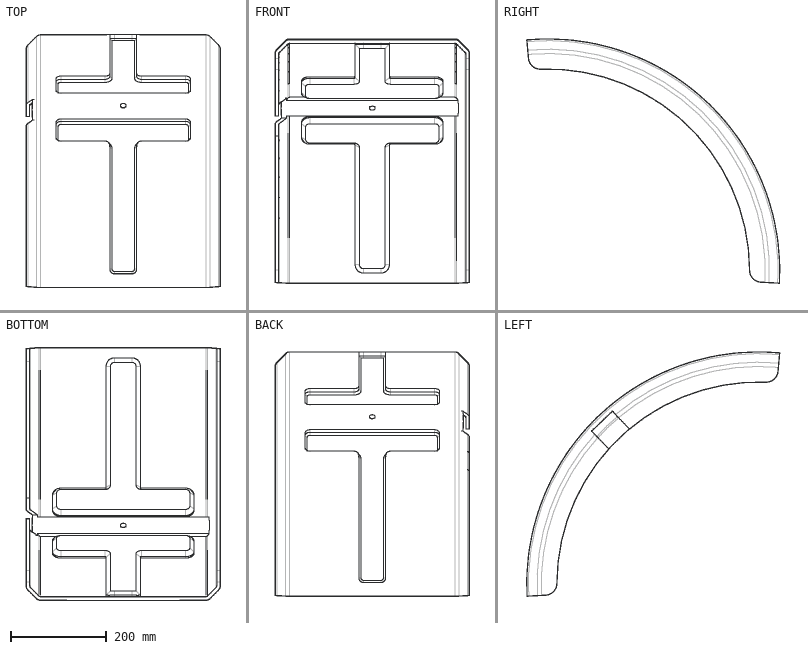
import cadquery as cq
import math

WIDTH = 406.4
OUTER_RADIUS = 485.0
SHEET = 7.62
START_ANGLE = -3.09
END_ANGLE = 95.24
MID_ANGLE = (START_ANGLE + END_ANGLE) / 2

SHOULDER = 25.4
FLANGE_DEPTH = 63.5
BEND_RADIUS = 12.7
FLANGE_END_RADIUS = 25.4

RECESS_DEPTH = 12.7
STEM_WIDTH = 56.3
CROSSBAR_LENGTH = 281.0
CROSSBAR_NEAR_ANGLE = 4.45
CROSSBAR_FAR_ANGLE = 11.2
STEM_END_ANGLE = 45.75
CORNER_RADIUS = 10.0
BOSS_BEVEL = 9.0

STIFFENER_FACE_DISTANCE = 472.0
STIFFENER_WIDTH = 47.6
NOTCH_WIDTH = 60.0
HOLE_DIAMETER = 12.0

HALF_WIDTH = WIDTH / 2
TOLERANCE = 0.5
INNER_RADIUS = OUTER_RADIUS - SHEET
FLANGE_EDGE_RADIUS = OUTER_RADIUS - FLANGE_DEPTH
BEVEL_LOSS = SHEET * (2 - math.sqrt(2))
RECESS_BEVEL = BOSS_BEVEL - BEVEL_LOSS


def swept(profile, first_angle, last_angle):
    """Revolve an (x, radius) profile about the X axis between two angles."""
    solid = profile.revolve(last_angle - first_angle, (0, 0), (1, 0))
    return solid.rotate((0, 0, 0), (1, 0, 0), first_angle)


def at_mid_angle(solid):
    """Turn a solid built around +Y to the middle of the arc."""
    return solid.rotate((0, 0, 0), (1, 0, 0), MID_ANGLE)


def channel_body(half_width, crown_radius, shoulder, bend_radius):
    """Solid arch with rounded sloping shoulders, down to the free edge of the flanges."""
    corners = [
        (-half_width, FLANGE_EDGE_RADIUS),
        (-half_width, crown_radius - shoulder),
        (-half_width + shoulder, crown_radius),
        (half_width - shoulder, crown_radius),
        (half_width, crown_radius - shoulder),
        (half_width, FLANGE_EDGE_RADIUS),
    ]
    section = cq.Sketch().polygon(corners + corners[:1])
    section = section.vertices("not <Y").fillet(bend_radius)
    return swept(cq.Workplane("XY").placeSketch(section), START_ANGLE, END_ANGLE)


OUTER_BODY = channel_body(HALF_WIDTH, OUTER_RADIUS, SHOULDER, BEND_RADIUS)


def folded_sheet():
    """Sheet of even thickness: the outer arch less the arch one sheet inside it."""
    inner_shoulder = SHOULDER - BEVEL_LOSS
    cavity = channel_body(
        HALF_WIDTH - SHEET, INNER_RADIUS, inner_shoulder, BEND_RADIUS - SHEET
    )
    sheet = OUTER_BODY.cut(cavity)

    def is_flange_corner(edge):
        middle = edge.Center()
        is_free = math.hypot(middle.y, middle.z) < FLANGE_EDGE_RADIUS + TOLERANCE
        return is_free and edge.geomType() == "LINE"

    corners = [edge for edge in sheet.edges("|X").vals() if is_flange_corner(edge)]
    return sheet.newObject(corners).fillet(FLANGE_END_RADIUS)


def tee(floor_radius, top_radius, margin, bevel, convex_radius, concave_radius):
    """T block on the far half of the arc, grown all round by margin, with a bevelled floor."""
    margin_angle = math.degrees(margin / OUTER_RADIUS)
    height = top_radius - floor_radius
    mid_radius = (floor_radius + top_radius) / 2
    near_angle = MID_ANGLE + CROSSBAR_NEAR_ANGLE - margin_angle
    far_angle = MID_ANGLE + CROSSBAR_FAR_ANGLE + margin_angle
    end_angle = MID_ANGLE + STEM_END_ANGLE + margin_angle
    crossbar_length = CROSSBAR_LENGTH + 2 * margin
    stem_width = STEM_WIDTH + 2 * margin

    def slab(width, last_angle):
        profile = cq.Workplane("XY").center(0, mid_radius).rect(width, height)
        solid = profile.revolve(last_angle - near_angle, (0, -mid_radius), (1, -mid_radius))
        return solid.rotate((0, 0, 0), (1, 0, 0), near_angle)

    block = slab(crossbar_length, far_angle).union(slab(stem_width, end_angle))

    def is_radial(edge):
        return edge.geomType() == "LINE" and abs(edge.tangentAt(0.5).x) < TOLERANCE

    def is_junction(edge):
        middle = edge.Center()
        angle = math.degrees(math.atan2(middle.z, middle.y))
        return abs(middle.x) < stem_width / 2 + TOLERANCE and abs(angle - far_angle) < TOLERANCE

    radial = [edge for edge in block.edges().vals() if is_radial(edge)]
    junctions = [edge for edge in radial if is_junction(edge)]
    outer_corners = [edge for edge in radial if not is_junction(edge)]
    block = block.newObject(outer_corners).fillet(convex_radius)
    block = block.newObject(junctions).fillet(concave_radius)

    def is_floor(edge):
        middle = edge.positionAt(0.5)
        return math.hypot(middle.y, middle.z) < floor_radius + TOLERANCE

    floor_edges = [edge for edge in block.edges().vals() if is_floor(edge)]
    return block.newObject(floor_edges).chamfer(bevel)


def mirrored_about_middle(solid):
    """Copy of a solid on the other half of the arc."""
    upright = solid.rotate((0, 0, 0), (1, 0, 0), -MID_ANGLE)
    return at_mid_angle(upright.mirror("XY"))


def stiffener():
    """Bar with a flat inner face and 45 degree sides, filling the arch up to the sheet."""
    half_face = STIFFENER_WIDTH / 2
    rise = INNER_RADIUS - STIFFENER_FACE_DISTANCE
    section = [
        (STIFFENER_FACE_DISTANCE, -half_face),
        (STIFFENER_FACE_DISTANCE, half_face),
        (INNER_RADIUS, half_face + rise),
        (INNER_RADIUS, -half_face - rise),
    ]
    block = cq.Workplane("YZ").polyline(section).close().extrude(HALF_WIDTH, both=True)
    return at_mid_angle(block).intersect(OUTER_BODY)


def side_notch():
    """Opening through the flange on the -X side, flush with the face of the stiffener."""
    length = SHOULDER + SHEET
    notch = cq.Workplane("XY").rect(length, STIFFENER_FACE_DISTANCE, centered=False)
    notch = notch.extrude(NOTCH_WIDTH / 2, both=True)
    return at_mid_angle(notch.translate((-HALF_WIDTH, 0, 0)))


def centre_hole():
    """Hole through the sheet and the stiffener at the middle of the arc."""
    drill = cq.Workplane("XZ").circle(HOLE_DIAMETER / 2).extrude(-2 * OUTER_RADIUS)
    return at_mid_angle(drill)


boss = tee(
    INNER_RADIUS - RECESS_DEPTH,
    OUTER_RADIUS - SHEET / 2,
    SHEET,
    BOSS_BEVEL,
    CORNER_RADIUS + SHEET,
    CORNER_RADIUS - SHEET,
)
recess = tee(
    OUTER_RADIUS - RECESS_DEPTH,
    OUTER_RADIUS + SHEET,
    0,
    RECESS_BEVEL,
    CORNER_RADIUS,
    CORNER_RADIUS,
)

result = folded_sheet().union(stiffener())
for block in (boss, mirrored_about_middle(boss)):
    result = result.union(block)
for block in (recess, mirrored_about_middle(recess)):
    result = result.cut(block)
result = result.cut(side_notch()).cut(centre_hole())